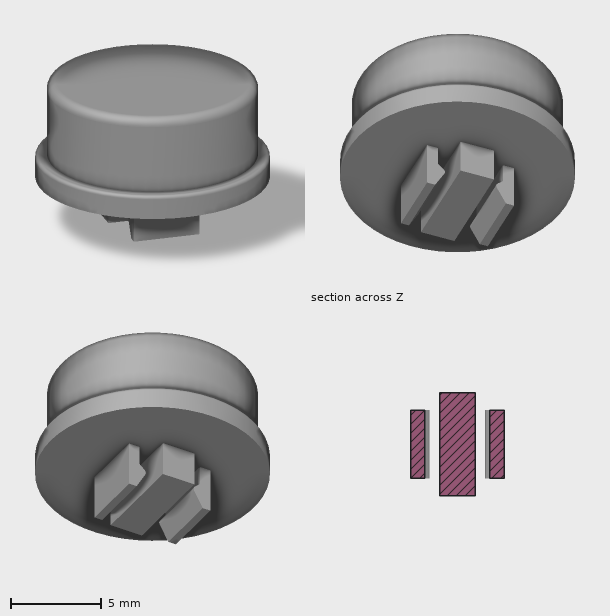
import cadquery as cq

total_height = 8.4

flange_diameter = 13.0
flange_height = 1.35
flange_edge_radius = 0.2
cap_diameter = 11.7
cap_edge_radius = 0.5

clip_length = 2.7
clip_width = 3.8
clip_outer_span = 5.2
clip_thickness = 0.66
clip_tip_thickness = 0.48
barb_start_depth = 1.15
barb_corner_thickness = 1.13
barb_corner_depth = 1.56
barb_crest_radius = 0.25

guide_thickness = 2.0
guide_width = 5.75
guide_length = 2.08

cap_top = total_height - clip_length


def rounded_disc(diameter, height, edge_radius):
    """Disc standing on Z = 0 with a rounded top edge."""
    return cq.Workplane("XY").circle(diameter / 2).extrude(height).faces(">Z").edges().fillet(edge_radius)


def snap_clip(side):
    """Clip hanging below the flange; side is -1 for the -X clip and +1 for the +X clip."""
    inner_profile = [
        (clip_thickness, 0),
        (clip_thickness, barb_start_depth),
        (barb_corner_thickness, barb_corner_depth),
        (clip_tip_thickness, clip_length),
    ]
    profile = [(0, 0)] + inner_profile + [(0, clip_length)]
    outer_x = clip_outer_span / 2
    points = [(side * (outer_x - thickness), -depth) for thickness, depth in profile]
    clip = cq.Workplane("XZ").polyline(points).close().extrude(clip_width / 2, both=True)
    innermost = ">X" if side < 0 else "<X"
    return clip.edges("|Y").edges(innermost).fillet(barb_crest_radius)


flange = rounded_disc(flange_diameter, flange_height, flange_edge_radius)
cap = rounded_disc(cap_diameter, cap_top, cap_edge_radius)
guide = cq.Workplane("XY").rect(guide_thickness, guide_width).extrude(-guide_length)

result = flange.union(cap).union(guide)
for side in (-1, 1):
    result = result.union(snap_clip(side))